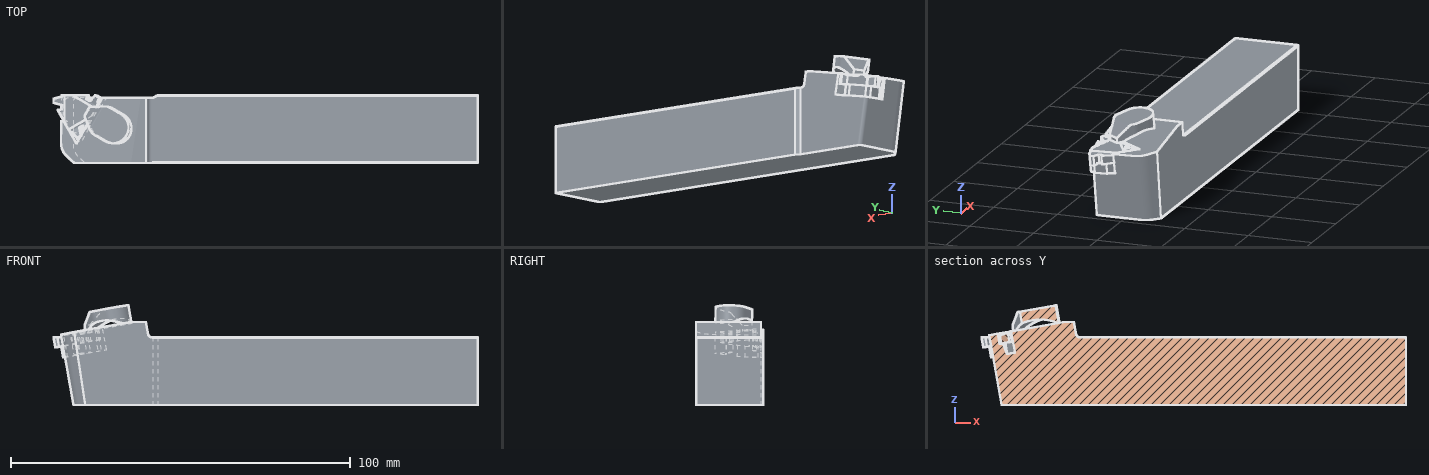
import cadquery as cq
import math

length = 125.0
shank_width = 20.0
shank_height = 20.0
shank_chamfer = 0.2
shank_side_start = 29.4
shank_side_end = 30.8

head_height = 24.5
head_width = 19.2
head_step_x = 27.2
head_step_lean = 10.0
head_step_fillet = 1.0
front_foot_x = 5.9
front_lean = 10.0
bevel_foot_x = 9.4
bevel_turn = 48.0
bevel_lean = 5.8
bevel_fillet = 5.0
back_corner_fillet = 1.1

big = 75.0

seat_inradius = 4.8
land_radius = 4.5
tip_radius = 6.9
tip_offset = 3.1
tip_width = 1.2
tip_root_width = 2.6
spur_radius = 5.8
spur_root_offset = 0.6
insert_thickness = 3.1
groove_inner_radius = 3.5
groove_depth = 0.56
shim_flat_radius = 5.1
shim_flat_end = 3.2
shim_thickness = 3.2
relief_front = 3.8
relief_side = 2.9

nose_down = 10.0
side_down = 1.5
seat_y, seat_z = 15.2, 21.2

clamp_x, clamp_y = 11.9, -5.0
clamp_turn = -30.0
clamp_nose_angle = 30.0
clamp_radius = 4.6
clamp_height = 5.2
clamp_nose = 9.8
clamp_shoulder = 4.5
nose_lip = 1.6
nose_top_setback = 5.9
nose_top_fillet = 1.0
shoulder_fillet = 3.1
arch_front, arch_rear = -8.2, 4.0
arch_height = 2.0

seat_x = tip_radius * math.cos(math.radians(nose_down))
seat = cq.Plane((seat_x, seat_y, seat_z)).rotated((-side_down, -nose_down, 0))
corner_turns = (0, 120, 240)


def on_seat(depth=0.0):
    """Workplane parallel to the insert's top face, `depth` below it."""
    return cq.Workplane(seat).workplane(offset=-depth)


def edge_near(x, y, z):
    """Selector for the edge whose middle is nearest to a point."""
    return cq.selectors.NearestToPointSelector((x, y, z))


def leaning_cutter(foot_x, foot_y, turn, lean):
    """Block outside a face that passes through a foot point and leans out going up."""
    face = cq.Plane((foot_x, foot_y, 0)).rotated((0, 0, turn)).rotated((0, -lean, 0))
    block = cq.Workplane(face).box(big, 2 * big, 2 * big, centered=(False, True, True))
    return block.translate(face.xDir * -big)


def make_shank():
    shank = (cq.Workplane("XY").box(length - bevel_foot_x, shank_width, shank_height, centered=False)
             .translate((bevel_foot_x, 0, 0)))
    shank = shank.faces(">Z").edges("|X").chamfer(shank_chamfer)
    shank = shank.faces(">X").edges("not <Z").chamfer(shank_chamfer)
    side_relief = (cq.Workplane("XY")
                   .moveTo(0, head_width)
                   .lineTo(shank_side_start, head_width)
                   .lineTo(shank_side_end, shank_width)
                   .lineTo(0, shank_width).close().extrude(shank_height))
    return shank.cut(side_relief)


def make_head():
    step_run = (head_height - shank_height) * math.tan(math.radians(head_step_lean))
    step_foot_x = head_step_x + step_run
    head = (cq.Workplane("XZ")
            .moveTo(0, 0)
            .lineTo(shank_side_start, 0)
            .lineTo(shank_side_start, shank_height)
            .lineTo(step_foot_x, shank_height)
            .lineTo(head_step_x, head_height)
            .lineTo(0, head_height).close().extrude(-head_width))
    head = head.edges(edge_near(step_foot_x, head_width / 2, shank_height)).fillet(head_step_fillet)

    front_middle_x = front_foot_x / 2
    middle_z = head_height / 2
    head = head.cut(leaning_cutter(front_foot_x, head_width / 2, 0, front_lean))
    head = head.edges(edge_near(front_middle_x, head_width, middle_z)).fillet(back_corner_fillet)

    bevel_edge_y = (bevel_foot_x - front_foot_x) / math.tan(math.radians(bevel_turn))
    head = head.cut(leaning_cutter(bevel_foot_x, 0, bevel_turn, bevel_lean))
    head = head.edges(edge_near(front_middle_x, bevel_edge_y, middle_z)).fillet(bevel_fillet)
    return head.cut(on_seat().rect(big, big).extrude(big))


def flank_offset(radius):
    """Sideways place where a pocket flank crosses a line at `radius` from the centre."""
    return math.sqrt(3) * radius - 2 * seat_inradius


def three_fold_prism(corner, depth, thickness):
    """Prism whose outline repeats the points of one corner three times around."""
    outline = []
    for turn in corner_turns:
        angle = math.radians(turn)
        for x, y in corner:
            outline.append((x * math.cos(angle) - y * math.sin(angle),
                            x * math.sin(angle) + y * math.cos(angle)))
    return on_seat(depth).polyline(outline).close().extrude(-thickness)


def make_shim():
    corner = [(-land_radius, seat_inradius),
              (-shim_flat_radius, shim_flat_end),
              (-shim_flat_radius, flank_offset(shim_flat_radius))]
    return three_fold_prism(corner, insert_thickness, shim_thickness)


def make_pocket():
    """Triangular pocket for insert and shim, with a notch out to the front face."""
    depth = insert_thickness + shim_thickness
    triangle = three_fold_prism([(-math.sqrt(3) * seat_inradius, seat_inradius)], 0, depth)
    relief = (on_seat().moveTo(-relief_front, -relief_side)
              .lineTo(-relief_front, seat_inradius)
              .lineTo(-2 * seat_inradius, seat_inradius)
              .lineTo(-2 * seat_inradius, -relief_side).close().extrude(-depth))
    return triangle.union(relief)


def chip_groove(turn):
    """Groove along one edge, rising again to the cutting tip."""
    middle = (groove_inner_radius + land_radius) / 2
    across_edge = cq.Plane(seat.origin, seat.xDir, -seat.yDir)
    groove = (cq.Workplane(across_edge)
              .moveTo(-groove_inner_radius, 0)
              .threePointArc((-middle, -groove_depth), (-land_radius, -groove_depth))
              .lineTo(-tip_radius, 0).close().extrude(big / 2, both=True))
    return groove.rotate(seat.origin.toTuple(), (seat.origin + seat.zDir).toTuple(), turn)


def make_insert():
    corner = [(-land_radius, seat_inradius),
              (-land_radius, tip_offset + tip_root_width / 2),
              (-tip_radius, tip_offset + tip_width / 2),
              (-tip_radius, tip_offset - tip_width / 2),
              (-land_radius, tip_offset - tip_root_width / 2),
              (-land_radius, spur_root_offset),
              (-spur_radius, flank_offset(spur_radius))]
    insert = three_fold_prism(corner, 0, insert_thickness)
    for turn in corner_turns:
        insert = insert.cut(chip_groove(turn))
    return insert


def make_clamp():
    frame = on_seat().transformed(offset=(clamp_x, clamp_y, 0), rotate=(0, 0, clamp_turn))
    shoulder_drop = (clamp_nose - clamp_shoulder) * math.tan(math.radians(clamp_nose_angle))
    nose_half_width = clamp_radius - shoulder_drop
    body = (frame.moveTo(0, clamp_radius)
            .lineTo(-clamp_shoulder, clamp_radius)
            .lineTo(-clamp_nose, nose_half_width)
            .lineTo(-clamp_nose, -nose_half_width)
            .lineTo(-clamp_shoulder, -clamp_radius)
            .lineTo(0, -clamp_radius)
            .threePointArc((clamp_radius, 0), (0, clamp_radius)).close().extrude(clamp_height))
    base = frame.plane
    side = cq.Workplane(cq.Plane(base.origin, base.xDir, -base.yDir))
    slope = (side.moveTo(-clamp_nose, nose_lip)
             .lineTo(-nose_top_setback, clamp_height)
             .lineTo(-clamp_nose, clamp_height).close().extrude(clamp_radius, both=True))
    arch = (side.moveTo(arch_front, 0)
            .threePointArc(((arch_front + arch_rear) / 2, arch_height), (arch_rear, 0)).close()
            .extrude(clamp_radius, both=True))
    for side_y in (-clamp_radius, clamp_radius):
        shoulder = base.toWorldCoords((-clamp_shoulder, side_y, clamp_height / 2))
        body = body.edges(edge_near(*shoulder.toTuple())).fillet(shoulder_fillet)
    body = body.cut(slope)
    top_front = base.toWorldCoords((-nose_top_setback, 0, clamp_height))
    body = body.edges(edge_near(*top_front.toTuple())).fillet(nose_top_fillet)
    return body.cut(arch)


def make_holder():
    """Shank, head, shim and clamp as one body."""
    holder = make_shank().union(make_head()).cut(make_pocket())
    return holder.union(make_shim()).union(make_clamp())


insert = make_insert()
holder = make_holder()
result = cq.Compound.makeCompound([*holder.solids().vals(), *insert.solids().vals()])